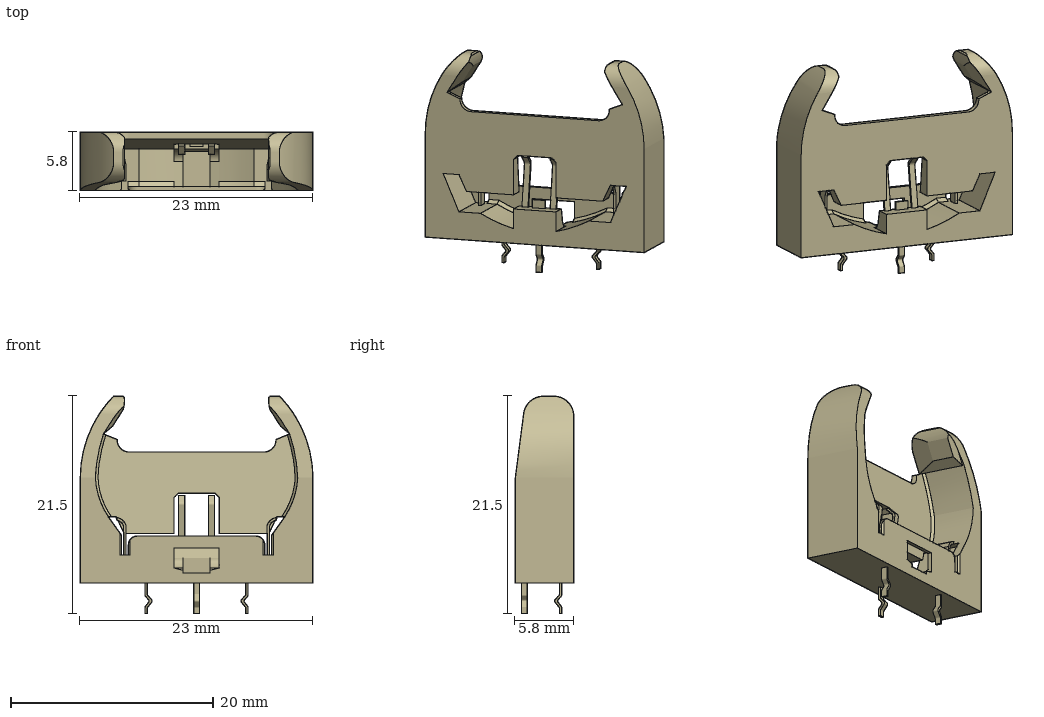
import cadquery as cq
import math


WIDTH = 23.0
DEPTH = 5.8
HALF_WIDTH = WIDTH / 2
CELL_Z = 10.41
HEIGHT = 18.49
OUTER_RADIUS = HALF_WIDTH
INNER_RADIUS = 10.0

TIP_RADIUS = 2.0
ARM_LEAN = math.radians(7.4)
CATCH_ROOT = (9.2, 14.76)
CATCH_KNEE = (8.3, 15.5)
TIP_X = 7.13
TIP_ROUND_MID = (TIP_X, 17.75)
TIP_ROUND_LOW = (7.25, 17.15)
TIP_BREAK = 0.15
CATCH_EDGE = (7.95, 16.73)
CATCH_FRONT_Y = 0.75
CATCH_FRONT_RUN = 1.4
CATCH_BACK_RUN = 6.0

SEAT_MID = (9.43, 7.9)
SEAT_LOW = (8.7, 6.55)
FRONT_TOP = 4.67
LIP_BOTTOM = (7.4, 4.72)
LIP_DEPTH = 0.92

FLOOR_Z = 2.8
FLOOR_MID = (3.8, 1.97)
RAMP_OUTER_Z = 1.5
RAMP_INNER_Z = 1.28
FLOOR_CURVE_X = 5.69
CHAMBER_X = 7.95
CHAMBER_TOP_X = 9.6
FRONT_WALL = 0.4
FOOT_RISE = 0.3

SLOT_INNER = 6.75
SLOT_OUTER = LIP_BOTTOM[0]
SLOT_CHAMFER = 0.18
WALL_CORNER_RADIUS = 0.9

PANEL_TOP = 12.98
PANEL_BOTTOM = 4.9
PANEL_TOP_Y = 5.12
PANEL_BOTTOM_Y = 4.13
PANEL_BOTTOM_X = 7.15
PANEL_STEP_X = 7.95
PANEL_EAR = (7.83, 14.2)
PANEL_SCOOP_MID = (7.57, 13.4)
PANEL_TOP_X = 6.6
PANEL_SIDE_X = 10.2
PANEL_CHAMFER = 0.25
NOTCH_TOP = 8.89
NOTCH_CHAMFER = 0.42

BLOCK_X = 2.22
BLOCK_FRONT_TOP_Y = 4.13
BLOCK_FRONT_LOW_Y = 3.87
BLOCK_FRONT_LOW_Z = 2.49
WINDOW_TOP = 3.48
BLOCK_TOP = WINDOW_TOP
CHANNEL_X = 1.32
CHANNEL_Z = 1.0
RAMP_RADIUS = 0.99
TAB_X = 0.65
TAB_FRONT_Y = 4.38
TAB_TOP = 4.3

METAL = 0.24
PIN_WIDTH = 0.6
PIN_LENGTH = 3.0
PIN_ROOT = 0.5
PIN_KINK_TOP = 1.2
PIN_KINK_MIDDLE = 1.75
PIN_KINK_BOTTOM = 2.37
PIN_KINK_DEPTH = 0.5
PIN_BEND_RADIUS = 0.2
PRONG_BEND_RADIUS = 0.4
SIDE_PIN_X = 4.98
SIDE_PIN_Y = 0.9
CENTRE_PIN_Y = 4.48
PRONG_INNER = 1.16
PRONG_WIDTH = 0.63
PRONG_PATH = [(4.45, 3.2), (3.68, 7.86), (4.52, 8.6)]
SPRING_INNER_X = 6.97
SPRING_FRONT = 0.98
SPRING_BACK = 3.25
SPRING_STEM_BACK = 2.1
SPRING_STEM_TOP = 4.75
SPRING_FLARE_MID = (2.5, 5.65)
SPRING_FLARE_END = 6.0
CURL_START_Z = 5.7
CURL_MID = (7.25, 6.17)
CURL_END = (7.95, 6.5)
CURL_INNER_END = (7.87, 6.22)
CURL_INNER_MID = (7.42, 5.98)
CURL_INNER_START_Z = 5.6


def prism(profile):
    """Extrude an XZ profile through the full depth of the housing."""
    return profile.close().extrude(-DEPTH)


def xz_plane():
    return cq.Workplane("XZ")


def yz_solid(profile, x_start, x_end):
    """Extrude a YZ profile between two X positions."""
    return profile.close().extrude(x_end - x_start).translate((x_start, 0, 0))


def box(x, y, z):
    """Box from three (low, high) ranges."""
    size = (x[1] - x[0], y[1] - y[0], z[1] - z[0])
    return cq.Workplane("XY").box(*size, centered=False).translate((x[0], y[0], z[0]))


def mirrored(solid):
    """A right hand feature together with its left hand twin."""
    return solid.union(solid.mirror("YZ"))


def band(path, thickness):
    """Outline of a bent strip with mitred corners around a centre path."""
    headings = []
    for start, end in zip(path, path[1:]):
        headings.append(math.atan2(end[1] - start[1], end[0] - start[0]))
    left, right = [], []
    for i, (u, v) in enumerate(path):
        before = headings[max(i - 1, 0)]
        after = headings[min(i, len(headings) - 1)]
        normal = (before + after) / 2 + math.pi / 2
        reach = thickness / 2 / math.cos((after - before) / 2)
        du = reach * math.cos(normal)
        dv = reach * math.sin(normal)
        left.append((u + du, v + dv))
        right.append((u - du, v - dv))
    return left + right[::-1]


def round_bends(strip, direction, radius, low, high):
    """Round the bends of a strip that lie between two heights."""
    zone = cq.selectors.BoxSelector((-WIDTH, -DEPTH, low), (WIDTH, DEPTH, high))
    return strip.edges(direction).edges(zone).fillet(radius)


def front_of_panel(z):
    """Y of the leaning front face of the back panel at a given height."""
    slope = (PANEL_TOP_Y - PANEL_BOTTOM_Y) / (PANEL_TOP - PANEL_BOTTOM)
    return PANEL_BOTTOM_Y + slope * (z - PANEL_BOTTOM)


def arm_side_limit():
    """Side shape of the housing: upright back, leaning front, rounded tips."""
    front_top = (HEIGHT - CELL_Z) * math.tan(ARM_LEAN)
    side = (
        cq.Workplane("YZ")
        .moveTo(0, 0)
        .lineTo(DEPTH, 0)
        .lineTo(DEPTH, HEIGHT)
        .lineTo(front_top, HEIGHT)
        .lineTo(0, CELL_Z)
    )
    solid = yz_solid(side, -HALF_WIDTH, HALF_WIDTH)
    return solid.faces(">Z").edges("|X").fillet(TIP_RADIUS)


def arc_point(radius, angle):
    """XZ point on a circle around the cell axis, the angle taken from +X."""
    return (radius * math.cos(angle), CELL_Z + radius * math.sin(angle))


def half_housing():
    """Right half of the housing with its arm, solid below the cell seat."""
    outer_tip_x = math.sqrt(OUTER_RADIUS**2 - (HEIGHT - CELL_Z) ** 2)
    outer_mid = arc_point(OUTER_RADIUS, math.asin((HEIGHT - CELL_Z) / OUTER_RADIUS) / 2)
    inner_mid = arc_point(INNER_RADIUS, math.asin((CATCH_ROOT[1] - CELL_Z) / INNER_RADIUS) / 2)
    return prism(
        xz_plane()
        .moveTo(0, 0)
        .lineTo(HALF_WIDTH, 0)
        .lineTo(HALF_WIDTH, CELL_Z)
        .threePointArc(outer_mid, (outer_tip_x, HEIGHT))
        .lineTo(TIP_X + TIP_BREAK, HEIGHT)
        .lineTo(TIP_X, HEIGHT - TIP_BREAK)
        .threePointArc(TIP_ROUND_MID, TIP_ROUND_LOW)
        .lineTo(*CATCH_KNEE)
        .lineTo(*CATCH_ROOT)
        .threePointArc(inner_mid, (INNER_RADIUS, CELL_Z))
        .threePointArc(SEAT_MID, SEAT_LOW)
        .lineTo(*LIP_BOTTOM)
        .lineTo(LIP_BOTTOM[0], FRONT_TOP)
        .lineTo(0, FRONT_TOP)
    )


def catch_slopes():
    """Cutter that makes the right catch rise gradually from its front and back."""
    dx = CATCH_EDGE[0] - CATCH_ROOT[0]
    dz = CATCH_EDGE[1] - CATCH_ROOT[1]
    plane = cq.Plane(
        origin=(CATCH_ROOT[0], 0, CATCH_ROOT[1]),
        xDir=(-dz, 0, dx),
        normal=(-dx, 0, -dz),
    )
    reach = 1.0
    length = 2 * (HEIGHT - CATCH_ROOT[1])
    front = [
        (0, -DEPTH),
        (0, CATCH_FRONT_Y),
        (reach, CATCH_FRONT_Y + reach * CATCH_FRONT_RUN),
        (reach, -DEPTH),
    ]
    back = [
        (0, 2 * DEPTH),
        (0, DEPTH),
        (reach, DEPTH - reach * CATCH_BACK_RUN),
        (reach, 2 * DEPTH),
    ]
    cutter = cq.Workplane(plane).polyline(front).close().extrude(-length)
    return cutter.add(cq.Workplane(plane).polyline(back).close().extrude(-length)).combine()


def floor_outline():
    """Outline of the space above the chamber floor."""
    return (
        xz_plane()
        .moveTo(-CHAMBER_X, FLOOR_Z)
        .lineTo(-FLOOR_CURVE_X, FLOOR_Z)
        .threePointArc((-FLOOR_MID[0], FLOOR_MID[1]), (-BLOCK_X, RAMP_OUTER_Z))
        .lineTo(-CHANNEL_X, RAMP_INNER_Z)
        .lineTo(CHANNEL_X, RAMP_INNER_Z)
        .lineTo(BLOCK_X, RAMP_OUTER_Z)
        .threePointArc(FLOOR_MID, (FLOOR_CURVE_X, FLOOR_Z))
        .lineTo(CHAMBER_X, FLOOR_Z)
        .lineTo(CHAMBER_TOP_X, SEAT_LOW[1])
        .lineTo(-CHAMBER_TOP_X, SEAT_LOW[1])
        .close()
    )


def behind_front_wall():
    """Space between the front wall and the lips, with a slanted foot."""
    wire = floor_outline().val().translate((0, LIP_DEPTH, 0))
    forward = cq.Vector(0, FRONT_WALL - LIP_DEPTH, FOOT_RISE)
    space = cq.Workplane(cq.Solid.extrudeLinear(wire, [], forward))
    return space.intersect(box((-SLOT_OUTER, SLOT_OUTER), (0, DEPTH), (0, HEIGHT)))


def slot():
    """Right slot beside the front wall, widened at its front."""
    plan = (
        cq.Workplane("XY")
        .moveTo(SLOT_INNER - SLOT_CHAMFER, 0)
        .lineTo(SLOT_OUTER + SLOT_CHAMFER, 0)
        .lineTo(SLOT_OUTER, SLOT_CHAMFER)
        .lineTo(SLOT_OUTER, LIP_DEPTH)
        .lineTo(SLOT_INNER, LIP_DEPTH)
        .lineTo(SLOT_INNER, SLOT_CHAMFER)
        .close()
        .extrude(LIP_BOTTOM[1] - FLOOR_Z + SLOT_CHAMFER)
    )
    return plan.translate((0, 0, FLOOR_Z))


def wall_corner():
    """Cutter rounding the right top corner of the front wall."""
    r = WALL_CORNER_RADIUS
    centre_x = SLOT_INNER - r
    centre_z = FRONT_TOP - r
    diagonal = r * math.sqrt(0.5)
    return prism(
        xz_plane()
        .moveTo(centre_x, FRONT_TOP)
        .threePointArc((centre_x + diagonal, centre_z + diagonal), (SLOT_INNER, centre_z))
        .lineTo(SLOT_INNER, FRONT_TOP)
    )


def back_panel():
    """Leaning back panel with raised ears and a notch for the middle contact."""
    ear_slope = (CATCH_ROOT[1] - PANEL_EAR[1]) / (CATCH_ROOT[0] - PANEL_EAR[0])
    ear_side_z = PANEL_EAR[1] + ear_slope * (PANEL_SIDE_X - PANEL_EAR[0])
    half = prism(
        xz_plane()
        .moveTo(0, PANEL_TOP)
        .lineTo(PANEL_TOP_X, PANEL_TOP)
        .threePointArc(PANEL_SCOOP_MID, PANEL_EAR)
        .lineTo(PANEL_SIDE_X, ear_side_z)
        .lineTo(PANEL_SIDE_X, SEAT_LOW[1])
        .lineTo(PANEL_STEP_X, SEAT_LOW[1])
        .lineTo(PANEL_BOTTOM_X, PANEL_BOTTOM)
        .lineTo(BLOCK_X, PANEL_BOTTOM)
        .lineTo(BLOCK_X, NOTCH_TOP - NOTCH_CHAMFER)
        .lineTo(BLOCK_X - NOTCH_CHAMFER, NOTCH_TOP)
        .lineTo(0, NOTCH_TOP)
    )
    lean = (
        cq.Workplane("YZ")
        .moveTo(front_of_panel(0), 0)
        .lineTo(front_of_panel(HEIGHT), HEIGHT)
        .lineTo(DEPTH, HEIGHT)
        .lineTo(DEPTH, 0)
    )
    return mirrored(half).intersect(yz_solid(lean, -HALF_WIDTH, HALF_WIDTH))


def centre_block():
    """Block behind the window, its curved ramps and the tab on its top."""
    profile = (
        cq.Workplane("YZ")
        .moveTo(BLOCK_FRONT_LOW_Y, CHANNEL_Z)
        .lineTo(BLOCK_FRONT_LOW_Y, BLOCK_FRONT_LOW_Z)
        .lineTo(BLOCK_FRONT_TOP_Y, BLOCK_TOP)
        .lineTo(DEPTH, BLOCK_TOP)
        .lineTo(DEPTH, CHANNEL_Z)
    )
    block = yz_solid(profile, -BLOCK_X, BLOCK_X)
    ramp_front = BLOCK_FRONT_LOW_Y - RAMP_RADIUS
    diagonal = RAMP_RADIUS * math.sqrt(0.5)
    ramp = (
        cq.Workplane("YZ")
        .moveTo(ramp_front, CHANNEL_Z)
        .lineTo(ramp_front, BLOCK_FRONT_LOW_Z - RAMP_RADIUS)
        .threePointArc(
            (ramp_front + diagonal, BLOCK_FRONT_LOW_Z - diagonal),
            (BLOCK_FRONT_LOW_Y, BLOCK_FRONT_LOW_Z),
        )
        .lineTo(BLOCK_FRONT_LOW_Y, CHANNEL_Z)
    )
    block = block.union(mirrored(yz_solid(ramp, CHANNEL_X, BLOCK_X)))
    tab = box((-TAB_X, TAB_X), (TAB_FRONT_Y, TAB_FRONT_Y + METAL), (BLOCK_TOP - METAL, TAB_TOP))
    return block.union(tab)


def pin_outline():
    """Kinked pin in its own plane, the kink pointing to negative first axis."""
    kink = -PIN_KINK_DEPTH
    path = [
        (0, PIN_ROOT),
        (0, -PIN_KINK_TOP),
        (kink, -PIN_KINK_MIDDLE),
        (0, -PIN_KINK_BOTTOM),
        (0, -PIN_LENGTH),
    ]
    return band(path, METAL)


def pins():
    """Two pins near the front and one in the middle near the back."""
    side = xz_plane().polyline(pin_outline()).close().extrude(PIN_WIDTH / 2, both=True)
    side = round_bends(side, "|Y", PIN_BEND_RADIUS, METAL - PIN_LENGTH, 0)
    side = side.translate((SIDE_PIN_X, SIDE_PIN_Y, 0))
    centre = cq.Workplane("YZ").polyline(pin_outline()).close().extrude(PIN_WIDTH / 2, both=True)
    centre = round_bends(centre, "|X", PIN_BEND_RADIUS, METAL - PIN_LENGTH, 0)
    return mirrored(side).union(centre.translate((0, CENTRE_PIN_Y, 0)))


def prong():
    """Right prong of the middle contact."""
    profile = cq.Workplane("YZ").polyline(band(PRONG_PATH, METAL))
    strip = yz_solid(profile, PRONG_INNER, PRONG_INNER + PRONG_WIDTH)
    return round_bends(strip, "|X", PRONG_BEND_RADIUS, BLOCK_TOP, PRONG_PATH[1][1] + METAL)


def side_spring():
    """Right side contact: an upright strip that widens and curls outwards."""
    outer_x = SPRING_INNER_X + METAL
    curl = prism(
        xz_plane()
        .moveTo(SPRING_INNER_X, FLOOR_Z - METAL)
        .lineTo(SPRING_INNER_X, CURL_START_Z)
        .threePointArc(CURL_MID, CURL_END)
        .lineTo(*CURL_INNER_END)
        .threePointArc(CURL_INNER_MID, (outer_x, CURL_INNER_START_Z))
        .lineTo(outer_x, FLOOR_Z - METAL)
    )
    side = (
        cq.Workplane("YZ")
        .moveTo(SPRING_FRONT, FLOOR_Z - METAL)
        .lineTo(SPRING_STEM_BACK, FLOOR_Z - METAL)
        .lineTo(SPRING_STEM_BACK, SPRING_STEM_TOP)
        .threePointArc(SPRING_FLARE_MID, (SPRING_BACK, SPRING_FLARE_END))
        .lineTo(SPRING_BACK, HEIGHT)
        .lineTo(SPRING_FRONT, HEIGHT)
    )
    return curl.intersect(yz_solid(side, 0, HALF_WIDTH))


def chamfer_panel_sides(body):
    """Break the curved corners between the panel front and the arms."""
    ear_edge_x = (PANEL_EAR[0] + INNER_RADIUS) / 2
    low = (ear_edge_x, PANEL_BOTTOM_Y, SEAT_LOW[1] + PANEL_CHAMFER)
    high = (INNER_RADIUS, DEPTH - PANEL_CHAMFER, PANEL_EAR[1])
    right = cq.selectors.BoxSelector(low, high)
    left = cq.selectors.BoxSelector((-high[0], low[1], low[2]), (-low[0], high[1], high[2]))
    return body.edges(right + left).chamfer(PANEL_CHAMFER)


def housing():
    """The moulded housing without the metal contacts."""
    body = mirrored(half_housing()).intersect(arm_side_limit())
    body = body.cut(mirrored(catch_slopes()))

    clear = floor_outline().extrude(-DEPTH)
    behind_front = box((-HALF_WIDTH, HALF_WIDTH), (LIP_DEPTH, DEPTH), (0, HEIGHT))
    window = box((-BLOCK_X, BLOCK_X), (0, DEPTH), (0, WINDOW_TOP))
    above_window = box((-BLOCK_X, BLOCK_X), (FRONT_WALL, DEPTH), (0, HEIGHT))
    for opening in (behind_front, window, above_window):
        body = body.cut(clear.intersect(opening))

    body = body.cut(behind_front_wall())
    body = body.cut(mirrored(slot())).cut(mirrored(wall_corner()))
    body = body.union(back_panel())
    body = chamfer_panel_sides(body)
    body = body.union(centre_block())
    return body.cut(box((-CHANNEL_X, CHANNEL_X), (0, BLOCK_FRONT_LOW_Y), (CHANNEL_Z, BLOCK_FRONT_LOW_Z)))


result = housing().union(pins()).union(mirrored(prong())).union(mirrored(side_spring()))